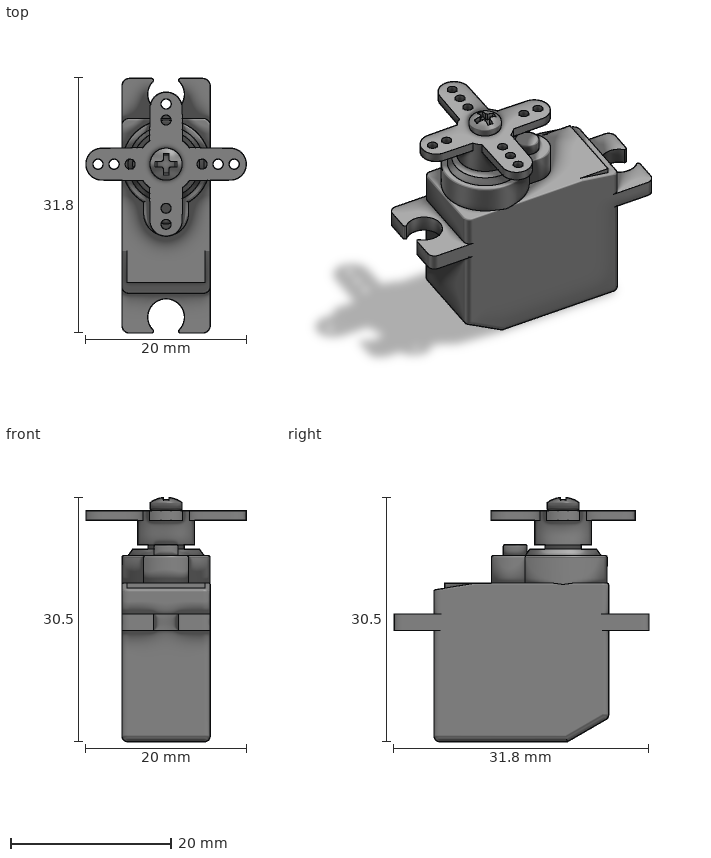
import cadquery as cq
import math


CASE_WIDTH = 11.05
CASE_BACK = 5.7
CASE_FRONT = -16.12
CASE_TOP = 19.8
LOWER_EDGE_RADIUS = 0.75
UPPER_CORNER_RADIUS = 0.9
TOP_EDGE_RADIUS = 0.25
BACK_BEVEL_HEIGHT = 3.0
BACK_BEVEL_ANGLE = 30
ROOF_SLOPE_START = -10.85
ROOF_SLOPE_DROP = 0.85

PAD_WIDTH = 9.75
PAD_BACK = -9.2
PAD_FRONT = -14.8
PAD_THICKNESS = 0.95

FLANGE_LENGTH = 31.8
FLANGE_BACK = 10.72
FLANGE_FRONT = FLANGE_BACK - FLANGE_LENGTH
FLANGE_BOTTOM = 13.85
FLANGE_THICKNESS = 2.1
FLANGE_TOP = FLANGE_BOTTOM + FLANGE_THICKNESS
FLANGE_CORNER_RADIUS = 1.0
MOUNT_HOLE_DIAMETER = 4.55
MOUNT_HOLE_INSET = 2.0
MOUNT_SLOT_WIDTH = 3.12
MOUNT_LIP_RADIUS = 0.3

BOSS_DIAMETER = 11.0
BOSS_TOP = 23.25
LOBE_RADIUS = 2.8
LOBE_Y = -6.15
COLLAR_BASE_RADIUS = 4.75
COLLAR_TOP_RADIUS = 4.15
COLLAR_TOP = 24.05
NECK_DIAMETER = 4.55
NECK_EDGE_RADIUS = 0.15
PIN_DIAMETER = 3.0
PIN_Y = -5.98
PIN_TOP = 24.6
PIN_EDGE_RADIUS = 0.25

HUB_DIAMETER = 7.12
HUB_BOTTOM = 24.58
ARM_BOTTOM = 27.65
ARM_THICKNESS = 1.2
HORN_TOP = ARM_BOTTOM + ARM_THICKNESS
ARM_ROOT_HALF_WIDTH = 2.1
ARM_TIP_HALF_WIDTH = 2.0
SIDE_ARM_REACH = 10.02
SIDE_ARM_SHOULDER = 8.0
LONG_ARM_REACH = 9.0
LONG_ARM_SHOULDER = 7.2
ARM_HOLE_DIAMETER = 1.25
ARM_HOLE_PITCH = 2.0
SIDE_ARM_FIRST_HOLE = 4.48
SIDE_ARM_HOLES = 3
LONG_ARM_FIRST_HOLE = 5.5
LONG_ARM_HOLES = 2

SCREW_DIAMETER = 4.0
SCREW_RIM_HEIGHT = 1.0
SCREW_DOME_HEIGHT = 1.7
SCREW_LOWER_EDGE_RADIUS = 0.3
SCREW_UPPER_EDGE_RADIUS = 0.15
SCREW_RISE = SCREW_DOME_HEIGHT - SCREW_RIM_HEIGHT
RECESS_DEPTH = 1.0
RECESS_ARM_WIDTH = 0.67
RECESS_TOP_REACH = 1.45
RECESS_FLOOR_REACH = 1.1
RECESS_CENTRE_SIZE = 1.25


def cylinder(diameter, bottom, top, y=0):
    """Vertical cylinder between two heights."""
    return cq.Workplane("XY", origin=(0, y, bottom)).circle(diameter / 2).extrude(top - bottom)


def extrude_outline(points):
    """Extrude a closed (Y, Z) outline across the case width."""
    return cq.Workplane("YZ").polyline(points).close().extrude(CASE_WIDTH / 2, both=True)


def cross_edge(y, z):
    """Selector for the case edge that runs across the width at (y, z)."""
    return cq.selectors.NearestToPointSelector((0, y, z))


def make_lower_case():
    """Lower case: rounded everywhere but at the flange and the shallow ridge of the bevel."""
    bevel_length = BACK_BEVEL_HEIGHT / math.tan(math.radians(BACK_BEVEL_ANGLE))
    bevel_end = CASE_BACK - bevel_length
    block = extrude_outline([
        (CASE_FRONT, 0),
        (bevel_end, 0),
        (CASE_BACK, BACK_BEVEL_HEIGHT),
        (CASE_BACK, FLANGE_BOTTOM),
        (CASE_FRONT, FLANGE_BOTTOM),
    ])
    upper_edges = block.faces(">Z").edges()
    ridge = block.edges(cross_edge(bevel_end, 0))
    kept_sharp = upper_edges.add(ridge).vals()
    rounded_edges = [edge for edge in block.edges().vals() if edge not in kept_sharp]
    return block.newObject(rounded_edges).fillet(LOWER_EDGE_RADIUS)


def make_upper_case():
    """Upper case: rounded corners, and a roof that slopes down towards the front."""
    block = extrude_outline([
        (CASE_FRONT, FLANGE_TOP),
        (CASE_BACK, FLANGE_TOP),
        (CASE_BACK, CASE_TOP),
        (ROOF_SLOPE_START, CASE_TOP),
        (CASE_FRONT, CASE_TOP - ROOF_SLOPE_DROP),
    ])
    block = block.edges("|Z").fillet(UPPER_CORNER_RADIUS)
    slope_middle = cq.selectors.NearestToPointSelector(
        (0, (ROOF_SLOPE_START + CASE_FRONT) / 2, CASE_TOP - ROOF_SLOPE_DROP / 2)
    )
    flat_rim = block.faces(">Z").edges()
    slope_rim = block.faces(slope_middle).edges()
    ridge = block.edges(cross_edge(ROOF_SLOPE_START, CASE_TOP)).val()
    rim = [edge for edge in flat_rim.add(slope_rim).vals() if not edge.isSame(ridge)]
    return block.newObject(rim).fillet(TOP_EDGE_RADIUS)


def make_label_pad():
    length = PAD_BACK - PAD_FRONT
    return (
        cq.Workplane("XY", origin=(0, (PAD_BACK + PAD_FRONT) / 2, CASE_TOP - PAD_THICKNESS))
        .rect(PAD_WIDTH, length)
        .extrude(PAD_THICKNESS)
    )


def make_flange():
    """Plate through the case with a screw hole at each end, open to that end."""
    middle_z = (FLANGE_BOTTOM + FLANGE_TOP) / 2
    middle_y = (FLANGE_BACK + FLANGE_FRONT) / 2
    plate = (
        cq.Workplane("XY", origin=(0, middle_y, FLANGE_BOTTOM))
        .rect(CASE_WIDTH, FLANGE_LENGTH)
        .extrude(FLANGE_THICKNESS)
        .edges("|Z")
        .fillet(FLANGE_CORNER_RADIUS)
    )
    for end_y, inward in ((FLANGE_BACK, -1), (FLANGE_FRONT, 1)):
        hole_y = end_y + inward * MOUNT_HOLE_INSET
        hole = cylinder(MOUNT_HOLE_DIAMETER, FLANGE_BOTTOM, FLANGE_TOP, hole_y)
        slot = (
            cq.Workplane("XY", origin=(0, end_y + inward * MOUNT_HOLE_INSET / 2, FLANGE_BOTTOM))
            .rect(MOUNT_SLOT_WIDTH, MOUNT_HOLE_INSET)
            .extrude(FLANGE_THICKNESS)
        )
        plate = plate.cut(hole).cut(slot)
        for side in (-1, 1):
            lip = cq.selectors.NearestToPointSelector((side * MOUNT_SLOT_WIDTH / 2, end_y, middle_z))
            plate = plate.edges("|Z").edges(lip).fillet(MOUNT_LIP_RADIUS)
    return plate


def make_gear_boss():
    """Round boss with a smaller lobe towards the front, sunk into the rounded case top."""
    bottom = CASE_TOP - 2 * TOP_EDGE_RADIUS
    boss = cylinder(BOSS_DIAMETER, bottom, BOSS_TOP)
    lobe = cylinder(2 * LOBE_RADIUS, bottom, BOSS_TOP, LOBE_Y)
    bridge = (
        cq.Workplane("XY", origin=(0, LOBE_Y / 2, bottom))
        .rect(2 * LOBE_RADIUS, -LOBE_Y)
        .extrude(BOSS_TOP - bottom)
    )
    return boss.union(bridge).union(lobe).faces(">Z").edges().fillet(TOP_EDGE_RADIUS)


def make_collar():
    return (
        cq.Workplane("XY", origin=(0, 0, BOSS_TOP))
        .circle(COLLAR_BASE_RADIUS)
        .workplane(offset=COLLAR_TOP - BOSS_TOP)
        .circle(COLLAR_TOP_RADIUS)
        .loft(ruled=True)
    )


def make_housing():
    neck = cylinder(NECK_DIAMETER, BOSS_TOP, HUB_BOTTOM).faces(">Z").edges().fillet(NECK_EDGE_RADIUS)
    pin = cylinder(PIN_DIAMETER, BOSS_TOP, PIN_TOP, PIN_Y).faces(">Z").edges().fillet(PIN_EDGE_RADIUS)
    housing = make_lower_case()
    for piece in (make_flange(), make_upper_case(), make_gear_boss(), make_collar(), neck, pin):
        housing = housing.union(piece)
    pad = make_label_pad()
    return housing.cut(pad).union(pad, clean=False)


def make_arm(reach, shoulder, first_hole, hole_count):
    """Tapered, round-ended arm along +X with its row of holes."""
    arm = (
        cq.Workplane("XY", origin=(0, 0, ARM_BOTTOM))
        .moveTo(0, -ARM_ROOT_HALF_WIDTH)
        .lineTo(shoulder, -ARM_TIP_HALF_WIDTH)
        .threePointArc((reach, 0), (shoulder, ARM_TIP_HALF_WIDTH))
        .lineTo(0, ARM_ROOT_HALF_WIDTH)
        .close()
        .extrude(ARM_THICKNESS)
    )
    hole_places = [(first_hole + i * ARM_HOLE_PITCH, 0) for i in range(hole_count)]
    holes = (
        cq.Workplane("XY", origin=(0, 0, ARM_BOTTOM))
        .pushPoints(hole_places)
        .circle(ARM_HOLE_DIAMETER / 2)
        .extrude(ARM_THICKNESS)
    )
    return arm.cut(holes)


def make_horn():
    """Four-armed horn on a round hub."""
    side_arm = make_arm(SIDE_ARM_REACH, SIDE_ARM_SHOULDER, SIDE_ARM_FIRST_HOLE, SIDE_ARM_HOLES)
    long_arm = make_arm(LONG_ARM_REACH, LONG_ARM_SHOULDER, LONG_ARM_FIRST_HOLE, LONG_ARM_HOLES)
    horn = cylinder(HUB_DIAMETER, HUB_BOTTOM, HORN_TOP)
    for arm, angle in ((side_arm, 0), (long_arm, 90), (side_arm, 180), (long_arm, 270)):
        horn = horn.union(arm.rotate((0, 0, 0), (0, 0, 1), angle))
    return horn


def make_recess():
    """Cross recess: two crossed blades narrowing downwards and a diagonal square core."""
    floor = HORN_TOP + SCREW_DOME_HEIGHT - RECESS_DEPTH
    blade = (
        cq.Workplane("XZ")
        .polyline([
            (-RECESS_FLOOR_REACH, floor),
            (RECESS_FLOOR_REACH, floor),
            (RECESS_TOP_REACH, floor + RECESS_DEPTH),
            (-RECESS_TOP_REACH, floor + RECESS_DEPTH),
        ])
        .close()
        .extrude(RECESS_ARM_WIDTH / 2, both=True)
    )
    core = (
        cq.Workplane("XY", origin=(0, 0, floor))
        .rect(RECESS_CENTRE_SIZE, RECESS_CENTRE_SIZE)
        .extrude(RECESS_DEPTH)
        .rotate((0, 0, 0), (0, 0, 1), 45)
    )
    return blade.union(blade.rotate((0, 0, 0), (0, 0, 1), 90)).union(core)


def make_screw():
    """Domed screw head resting on the horn."""
    radius = SCREW_DIAMETER / 2
    half_chord = radius / 2
    sphere_radius = (radius**2 + SCREW_RISE**2) / (2 * SCREW_RISE)
    mid_height = SCREW_DOME_HEIGHT - sphere_radius + math.sqrt(sphere_radius**2 - half_chord**2)
    head = (
        cq.Workplane("XZ", origin=(0, 0, HORN_TOP))
        .lineTo(radius, 0)
        .lineTo(radius, SCREW_RIM_HEIGHT)
        .threePointArc((half_chord, mid_height), (0, SCREW_DOME_HEIGHT))
        .close()
        .revolve()
    )
    head = head.faces("<Z").edges().fillet(SCREW_LOWER_EDGE_RADIUS)
    rim = cq.selectors.NearestToPointSelector((0, 0, HORN_TOP + SCREW_RIM_HEIGHT))
    head = head.edges(rim).fillet(SCREW_UPPER_EDGE_RADIUS)
    return head.cut(make_recess())


housing = make_housing()
horn = make_horn()
screw = make_screw()
result = cq.Compound.makeCompound([housing.val(), horn.val(), screw.val()])